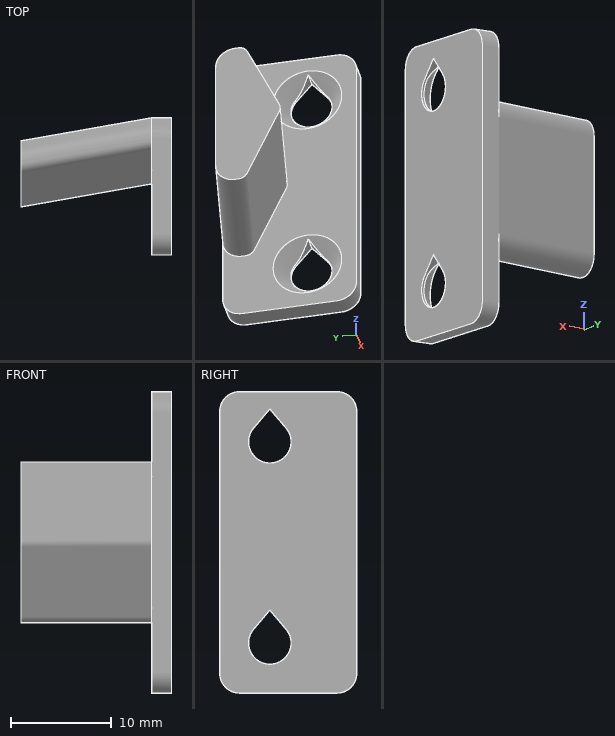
import cadquery as cq
import math

plate_thickness = 2.0
plate_width = 13.66
plate_height = 30.0
plate_corner_radius = 2.0

nose_length = 13.0
nose_lean_angle = 10.0
nose_height = 16.0
nose_depth = 6.6
nose_flank_angle = 25.0
nose_back_radius = 2.0
nose_front_radius = 1.0

hole_spacing = 20.0
hole_edge_distance = 5.0
hole_radius = 2.1
teardrop_tip_height = 3.25
countersink_radius = 3.5
countersink_depth = 1.7

back_edge_y = plate_width / 2
hole_y = hole_edge_distance - plate_width / 2


def make_plate():
    plate = cq.Workplane("YZ").rect(plate_width, plate_height).extrude(plate_thickness)
    return plate.edges("|X").fillet(plate_corner_radius)


def make_nose():
    """Pointed pentagon with rounded corners, extruded along the leaning direction."""
    flank = math.radians(nose_flank_angle)
    half_height = nose_height / 2
    tip_y = back_edge_y - nose_depth - nose_front_radius * (1 / math.cos(flank) - 1)
    shoulder_y = tip_y + half_height * math.tan(flank)

    back_top = cq.Vector(0, back_edge_y, half_height)
    back_bottom = cq.Vector(0, back_edge_y, -half_height)
    shoulder_bottom = cq.Vector(0, shoulder_y, -half_height)
    tip = cq.Vector(0, tip_y, 0)
    shoulder_top = cq.Vector(0, shoulder_y, half_height)

    corners = [back_top, back_bottom, shoulder_bottom, tip, shoulder_top]
    outline = cq.Wire.makePolygon(corners, close=True)
    outline = outline.fillet2D(nose_back_radius, nearest_vertices(outline, [back_top, back_bottom]))
    front_corners = [shoulder_bottom, tip, shoulder_top]
    outline = outline.fillet2D(nose_front_radius, nearest_vertices(outline, front_corners))

    lean = nose_length * math.tan(math.radians(nose_lean_angle))
    direction = cq.Vector(-nose_length, -lean, 0)
    return cq.Workplane(cq.Solid.extrudeLinear(outline, [], direction))


def nearest_vertices(wire, points):
    """Return the vertex of the wire closest to each of the points."""
    return [min(wire.Vertices(), key=lambda v: (v.Center() - point).Length) for point in points]


def make_hole_cutter(hole_z):
    """Teardrop through hole, tip up, with a conical countersink on the nose side."""
    touch_z = hole_radius**2 / teardrop_tip_height
    touch_y = math.sqrt(hole_radius**2 - touch_z**2)
    teardrop = (
        cq.Workplane("YZ", origin=(0, hole_y, hole_z))
        .moveTo(0, teardrop_tip_height)
        .lineTo(-touch_y, touch_z)
        .threePointArc((0, -hole_radius), (touch_y, touch_z))
        .close()
        .extrude(plate_thickness)
    )
    countersink = cq.Solid.makeCone(
        countersink_radius,
        hole_radius,
        countersink_depth,
        pnt=cq.Vector(0, hole_y, hole_z),
        dir=cq.Vector(1, 0, 0),
    )
    return teardrop.union(cq.Workplane(countersink))


result = make_plate().union(make_nose())
for hole_z in (-hole_spacing / 2, hole_spacing / 2):
    result = result.cut(make_hole_cutter(hole_z))